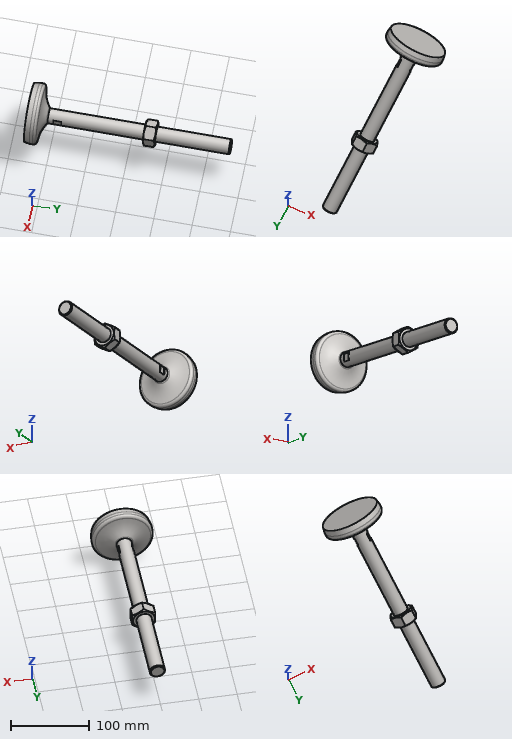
import cadquery as cq
import math

total_length = 263.0

pad_radius = 40.0
sole_radius = 38.7
taper_height = 7.0
rim_height = 11.3
shoulder_radius = 4.0
neck_bottom = 24.0
neck_bottom_radius = 11.5
neck_top = 25.5
flare_mid_radius = 21.0
flare_mid_height = 19.0

stem_radius = 10.0
tip_chamfer = 1.3
flats_width = 17.0
flats_start = 32.5
flats_length = 10.5

nut_across_flats = 30.0
nut_start = 150.5
nut_length = 15.8
nut_chamfer_angle = math.radians(30)
nut_face_radius = 14.2


def revolve_about_y(profile):
    """Turn a closed XY profile around the Y axis."""
    return profile.close().revolve(360, (0, 0, 0), (0, 1, 0))


def make_pad():
    """Tapered sole, rounded shoulder and a concave flare up to the neck."""
    shoulder_top = rim_height + shoulder_radius
    shoulder_inner = pad_radius - shoulder_radius
    arc_offset = shoulder_radius * math.sqrt(0.5)
    profile = (
        cq.Workplane("XY")
        .lineTo(sole_radius, 0)
        .lineTo(pad_radius, taper_height)
        .lineTo(pad_radius, rim_height)
        .threePointArc(
            (shoulder_inner + arc_offset, rim_height + arc_offset),
            (shoulder_inner, shoulder_top),
        )
        .threePointArc((flare_mid_radius, flare_mid_height), (neck_bottom_radius, neck_bottom))
        .lineTo(stem_radius, neck_top)
        .lineTo(0, neck_top)
    )
    return revolve_about_y(profile)


def make_stem():
    """Round rod with a chamfered tip and two wrench flats facing -X and +X."""
    profile = (
        cq.Workplane("XY")
        .lineTo(stem_radius, 0)
        .lineTo(stem_radius, total_length - tip_chamfer)
        .lineTo(stem_radius - tip_chamfer, total_length)
        .lineTo(0, total_length)
    )
    stem = revolve_about_y(profile)
    flats_center = flats_start + flats_length / 2
    for side in (-1, 1):
        cutter = cq.Workplane("XY").box(stem_radius, flats_length, 2 * stem_radius)
        offset = side * (flats_width + stem_radius) / 2
        stem = stem.cut(cutter.translate((offset, flats_center, 0)))
    return stem


def make_nut():
    """Hexagon with corners on +Z and -Z, its corners chamfered at both ends."""
    corner_radius = nut_across_flats / 2 / math.cos(math.pi / 6)
    chamfer_height = (corner_radius - nut_face_radius) * math.tan(nut_chamfer_angle)
    nut_end = nut_start + nut_length
    hexagon = (
        cq.Workplane("XZ", origin=(0, nut_start, 0))
        .transformed(rotate=(0, 0, 90))
        .polygon(6, 2 * corner_radius)
        .extrude(-nut_length)
    )
    envelope = revolve_about_y(
        cq.Workplane("XY")
        .moveTo(0, nut_start)
        .lineTo(nut_face_radius, nut_start)
        .lineTo(corner_radius, nut_start + chamfer_height)
        .lineTo(corner_radius, nut_end - chamfer_height)
        .lineTo(nut_face_radius, nut_end)
        .lineTo(0, nut_end)
    )
    return hexagon.intersect(envelope)


result = make_pad().union(make_stem()).union(make_nut())